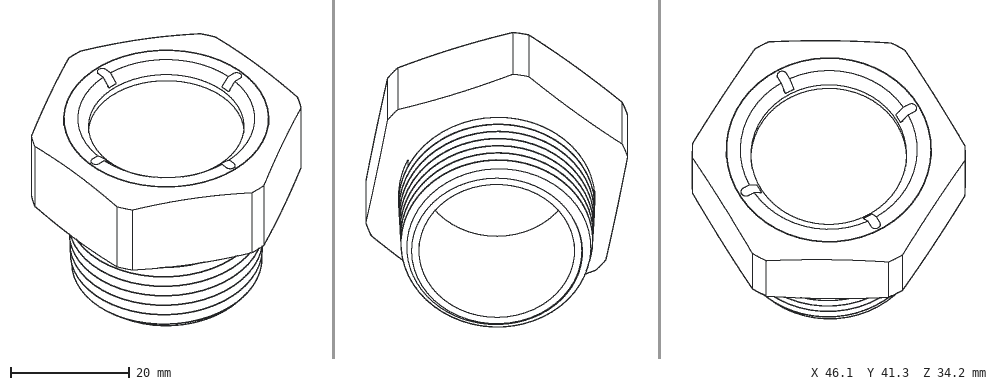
import cadquery as cq
import math

total_height = 34.15

hex_across_flats = 41.25
corner_radius = 23.05
head_height = 15.1
head_face_radius = 20.3
head_chamfer_angle = 15.0

neck_radius = 16.6
neck_fillet = 1.2
taper_top_z = 15.45
taper_per_length = 1 / 32
end_chamfer_radius = 14.4
groove_height = 17.4
thread_turns = 7.875
thread_depth = 1.75
crest_flat = 0.1
groove_end_z = 16.9
groove_end_angle = 45
cutter_overlap = 0.28

pocket_radius = 17.35
ring_clearance = 0.1
ring_height = 3.2
opening_radius = 13.15
opening_chamfer = 1.8
slot_count = 4
slot_width = 1.65
slot_inner_radius = 13.45
slot_outer_radius = 16.9
slot_floor_fillet = 0.1

window_thickness = 4.6

ring_radius = pocket_radius - ring_clearance
thread_pitch = groove_height / thread_turns
head_bottom_z = total_height - head_height
neck_fillet_z = head_bottom_z - neck_fillet
ring_bottom_z = total_height - ring_height
window_bottom_z = ring_bottom_z - window_thickness
head_chamfer_depth = (corner_radius - head_face_radius) * math.tan(math.radians(head_chamfer_angle))


def shank_radius(z):
    """Crest radius of the tapered shank at height z."""
    return neck_radius - (taper_top_z - z) * taper_per_length


def cylinder(radius, bottom_z, top_z):
    """Round solid on the Z axis between two heights."""
    return cq.Workplane("XY").workplane(offset=bottom_z).circle(radius).extrude(top_z - bottom_z)


def hex_head():
    """Hexagonal prism with rounded corners and both faces chamfered, corners on the X axis."""
    across_corners = hex_across_flats / math.cos(math.pi / 6)
    prism = (
        cq.Workplane("XY").workplane(offset=head_bottom_z)
        .polygon(6, across_corners).extrude(head_height)
    )
    envelope = (
        cq.Workplane("XZ")
        .moveTo(0, head_bottom_z)
        .lineTo(head_face_radius, head_bottom_z)
        .lineTo(corner_radius, head_bottom_z + head_chamfer_depth)
        .lineTo(corner_radius, total_height - head_chamfer_depth)
        .lineTo(head_face_radius, total_height)
        .lineTo(0, total_height)
        .close()
        .revolve(360, (0, 0, 0), (0, 1, 0))
    )
    return prism.intersect(envelope)


def shank_blank():
    """Tapered shank with its end chamfer, plain neck and the fillet under the head."""
    chamfer_top_z = (shank_radius(0) - end_chamfer_radius) / (1 - taper_per_length)
    fillet_mid = neck_fillet * (1 - math.sqrt(0.5))
    return (
        cq.Workplane("YZ")
        .lineTo(end_chamfer_radius, 0)
        .lineTo(shank_radius(chamfer_top_z), chamfer_top_z)
        .lineTo(neck_radius, taper_top_z)
        .lineTo(neck_radius, neck_fillet_z)
        .threePointArc(
            (neck_radius + fillet_mid, head_bottom_z - fillet_mid),
            (neck_radius + neck_fillet, head_bottom_z),
        )
        .lineTo(0, head_bottom_z)
        .close()
        .revolve(360, (0, 0, 0), (0, 1, 0))
    )


def thread_groove():
    """Right-hand V groove wound up the tapered shank, ending just short of the neck fillet."""
    start_z = groove_end_z - groove_height
    start_radius = shank_radius(start_z)
    root_radius = start_radius - thread_depth
    outer_radius = start_radius + cutter_overlap
    half_width = (thread_pitch - crest_flat) / 2
    taper_angle = math.degrees(math.atan(taper_per_length))
    helix = cq.Wire.makeHelix(
        thread_pitch, groove_height, root_radius, cq.Vector(0, 0, start_z), angle=taper_angle
    )
    profile = (
        cq.Workplane("XZ")
        .moveTo(root_radius, start_z)
        .lineTo(start_radius, start_z - half_width)
        .lineTo(outer_radius, start_z - half_width)
        .lineTo(outer_radius, start_z + half_width)
        .lineTo(start_radius, start_z + half_width)
        .close()
    )
    groove = profile.sweep(cq.Workplane(helix), isFrenet=True)
    return groove.rotate((0, 0, 0), (0, 0, 1), groove_end_angle - 360 * thread_turns)


def make_housing():
    """Hexagonal plug with a tapered thread, a pocket for window and ring, and a through bore."""
    body = hex_head().union(shank_blank().cut(thread_groove()))
    pocket = cylinder(pocket_radius, window_bottom_z, total_height)
    bore = cylinder(opening_radius, 0, total_height)
    return body.cut(pocket).cut(bore)


def make_window():
    """Flat disc lying on the pocket floor."""
    return cylinder(pocket_radius, window_bottom_z, ring_bottom_z)


def make_retaining_ring():
    """Ring above the window, with a chamfered opening and four wrench slots."""
    opening = cylinder(opening_radius, ring_bottom_z, total_height)
    ring = cylinder(ring_radius, ring_bottom_z, total_height).cut(opening)
    ring = ring.faces(">Z").edges(cq.selectors.RadiusNthSelector(0)).chamfer(opening_chamfer)
    for index in range(slot_count):
        ring = ring.cut(wrench_slot().rotate((0, 0, 0), (0, 0, 1), index * 360 / slot_count))
    return ring


def wrench_slot():
    """Cutter for the slot on the +X side: round outer end and a flat floor that runs out on the chamfer."""
    slot_bottom_z = total_height - opening_chamfer + slot_inner_radius - opening_radius
    half_width = slot_width / 2
    end_center = slot_outer_radius - half_width
    return (
        cq.Workplane("XY").workplane(offset=slot_bottom_z)
        .moveTo(opening_radius, -half_width)
        .lineTo(end_center, -half_width)
        .threePointArc((slot_outer_radius, 0), (end_center, half_width))
        .lineTo(opening_radius, half_width)
        .close()
        .extrude(total_height - slot_bottom_z)
        .faces("<Z").edges("not <X").fillet(slot_floor_fillet)
    )


housing = make_housing()
window = make_window()
retaining_ring = make_retaining_ring()

result = cq.Compound.makeCompound([housing.val(), window.val(), retaining_ring.val()])